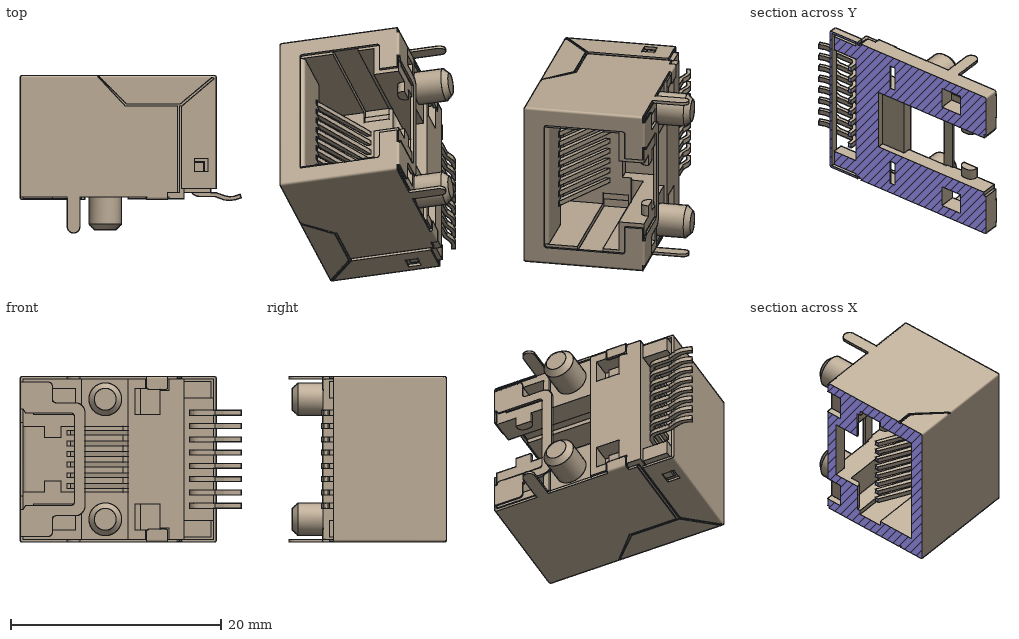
import cadquery as cq


shield_length = 18.69
shield_height = 15.78
shield_back_y = 11.82
shield_edge_y = 0.23
sheet = 0.27
bend_radius = 0.23
side_z = shield_height / 2
inner_z = side_z - sheet

cover_start_x = 15.38
cover_edge_y = 1.05
flap_gap = 0.21

arm_inner_z = 4.4
clip_x = (12.05, 14.05)
clip_inner_z = 6.65

housing_step_x = 5.85
slab_start_x = 10.28
slab_end_x = 15.61
slab_front_y = 0.06
nose_front_y = 0.13
peg_floor_y = 0.38
core_end_x = 18.16
core_front_y = 0.67
core_half = 7.42
core_gap_y = 2.1

mouth_half = 6.25
mouth_low_y = 1.95
mouth_high_y = 9.8
mouth_radius = 0.25
notch_half = 3.52
cavity_half = 5.98
cavity_low_y = 2.57
cavity_high_y = 9.4
cavity_back_x = 11.59
channel_half = 3.12
recess_low_y = 1.14
recess_high_y = 4.7
recess_back_x = 12.85

contact_count = 8
contact_pitch = 1.01
contact_width = 0.46
lead_pitch = 1.26
lead_width = 0.48
lead_well_half = 5.84
lead_well_y = 4.21

peg_diameter = 3.12
peg_tip_diameter = 2.09
peg_x = 8.11
peg_z = 5.7
peg_shoulder_y = -2.32
peg_tip_y = -2.87
tab_x = 5.1
tab_width = 1.22
tab_tip_y = -3.18

overlap = 0.1


def block(x0, x1, y0, y1, z0, z1):
    return cq.Workplane("XY").box(x1 - x0, y1 - y0, z1 - z0, centered=False).translate((x0, y0, z0))


def centred_block(x0, x1, y0, y1, half_z):
    return block(x0, x1, y0, y1, -half_z, half_z)


def both_sides(piece):
    return piece.union(piece.mirror("XY"))


def in_row(piece, count, pitch):
    """Copies of a piece centred on Z = 0, in a row along Z."""
    row = cq.Workplane("XY")
    for i in range(count):
        row = row.add(piece.translate((0, 0, (i - (count - 1) / 2) * pitch)))
    return row.combine()


def make_body():
    """Shield box filled by the housing, with the mounting side stepped."""
    body = centred_block(0, shield_length, shield_edge_y, shield_back_y, side_z)
    body = body.edges("not(<Y)").fillet(bend_radius)
    body = body.union(centred_block(sheet, housing_step_x, nose_front_y, cavity_low_y, inner_z))
    body = body.cut(centred_block(housing_step_x, slab_start_x, 0, peg_floor_y, inner_z))
    slab_notch_x = 14.03
    body = body.cut(centred_block(slab_notch_x, shield_length, 0, core_front_y, side_z))
    body = body.cut(centred_block(cover_start_x, shield_length, 0, cover_edge_y, side_z))
    slab = centred_block(slab_start_x, slab_end_x, slab_front_y, cavity_low_y, inner_z)
    body = body.union(slab)
    cover_inner_x = shield_length - sheet
    body = body.cut(centred_block(slab_end_x, cover_inner_x, 0, core_gap_y, inner_z))
    core = centred_block(cover_start_x, core_end_x, core_front_y, core_gap_y + overlap, core_half)
    body = body.union(core)
    return body.cut(centred_block(slab_end_x, cover_inner_x, 0, lead_well_y, lead_well_half))


def cavity_cutter():
    """Plug opening, latch channel and the recesses of the cavity walls."""
    mouth = centred_block(0, sheet, mouth_low_y, mouth_high_y, mouth_half)
    mouth = mouth.edges("|X").fillet(mouth_radius)
    cutter = mouth.union(centred_block(0, sheet, 0, mouth_low_y + mouth_radius, notch_half))

    lead_in = mouth_high_y - cavity_high_y
    ceiling_step_x = 5.48
    raised_x = 9.82
    raised_y = 10.87
    rear_y = 10.43
    chamber = (
        cq.Workplane("XY")
        .moveTo(sheet, cavity_low_y)
        .lineTo(sheet, mouth_high_y)
        .radiusArc((sheet + lead_in, cavity_high_y), -lead_in)
        .lineTo(ceiling_step_x, cavity_high_y)
        .lineTo(ceiling_step_x, raised_y)
        .lineTo(raised_x, raised_y)
        .lineTo(raised_x, rear_y)
        .lineTo(cavity_back_x, rear_y)
        .lineTo(cavity_back_x, cavity_low_y)
        .close()
        .extrude(cavity_half, both=True)
    )
    cutter = cutter.union(chamber)

    groove_y = (4.13, 6.62)
    groove_z = 6.47
    pocket_z = 4.9
    pocket_step_z = 5.6
    shallow = 0.32
    groove = block(sheet, cavity_back_x, *groove_y, cavity_half - overlap, groove_z)
    groove = groove.union(block(cavity_back_x, cavity_back_x + shallow, *groove_y, pocket_z, groove_z))
    groove = groove.union(
        block(cavity_back_x, cavity_back_x + 2 * shallow, *groove_y, pocket_step_z, groove_z)
    )
    cutter = cutter.union(both_sides(groove))

    channel_top_y = cavity_low_y + overlap
    cutter = cutter.union(centred_block(sheet, slab_start_x, 0, channel_top_y, channel_half))
    recess = centred_block(slab_start_x - overlap, recess_back_x, recess_low_y, recess_high_y, channel_half)
    return cutter.union(recess)


def make_rear_ledges():
    """Round-topped ledges at the foot of the back wall, one on each side of the recess."""
    depth = 0.57
    upper_ledge = (1, 3.73, 0.55)
    lower_ledge = (-1, 3.81, 0.48)
    front_x = cavity_back_x - depth
    ledges = cq.Workplane("XY")
    for side, top_y, radius in (upper_ledge, lower_ledge):
        ledge = block(
            front_x, cavity_back_x + overlap, cavity_low_y - overlap, top_y,
            channel_half, cavity_half + overlap,
        )
        ledge = ledge.edges("<X and >Y").fillet(radius)
        ledges = ledges.add(ledge if side > 0 else ledge.mirror("XY"))
    return ledges.combine()


def make_latch_keepers():
    """Round-backed ears that narrow the latch channel."""
    keeper_x = (2.32, 3.92)
    keeper_z = 2.06
    keeper_top_y = 0.95
    back_radius = 0.63
    keeper = block(*keeper_x, nose_front_y, keeper_top_y, keeper_z, channel_half + overlap)
    keeper = keeper.edges(">Y and |Z").fillet(back_radius)
    return both_sides(keeper)


def make_strap():
    """Bent strap from the plug face: two arms joined by a bar across the latch channel."""
    arm_outer_z = 7.33
    arm_neck_z = 5.37
    root_inner_z = 4.76
    root_x = 0.3
    root_slope_x = 0.53
    arm_wide_x = 3.08
    bar_x = (5.18, 6.17)
    corner = 0.35
    bar_corner = 0.9
    half = [
        (0, arm_outer_z),
        (arm_wide_x, arm_outer_z),
        (arm_wide_x, arm_neck_z),
        (bar_x[1], arm_neck_z),
        (bar_x[1], 0),
        (bar_x[0], 0),
        (bar_x[0], arm_inner_z),
        (root_slope_x, arm_inner_z),
        (root_x, root_inner_z),
        (0, root_inner_z),
    ]
    strap = cq.Workplane("XZ").polyline(half).close().extrude(-sheet)
    rounded_corners = [
        (arm_wide_x, arm_outer_z, corner),
        (arm_wide_x, arm_neck_z, corner),
        (bar_x[1], arm_neck_z, bar_corner),
        (bar_x[0], arm_inner_z, corner),
    ]
    for x, z, radius in rounded_corners:
        nearest = cq.selectors.NearestToPointSelector((x, sheet / 2, z))
        strap = strap.edges("|Y").edges(nearest).fillet(radius)
    strap = strap.edges("<X and <Y").fillet(bend_radius)
    return both_sides(strap)


def housing_pockets():
    """Pockets in the mounting side, beside the strap and under the shield clips."""
    pocket_outer_z = 6.75
    window = block(3.1, 5.27, 0, 2.32, 4.64, pocket_outer_z)

    pocket_x = (10.95, 13.34)
    strip_end_x = 11.48
    pocket_inner_z = 4.25
    pocket_floor_y = 1.62
    strip_floor_y = 1.9
    seat_margin = 0.1
    clip_pocket = block(*pocket_x, 0, pocket_floor_y, pocket_inner_z, pocket_outer_z)
    deep_strip = block(pocket_x[0], strip_end_x, 0, strip_floor_y, pocket_inner_z, pocket_outer_z)
    clip_seat = block(
        clip_x[0] - seat_margin, clip_x[1] + seat_margin, 0, sheet, clip_inner_z - seat_margin, inner_z
    )

    relief_depth = 0.06
    relief_width = 0.13
    relief = block(
        1.26, 5.05, 0, nose_front_y + relief_depth, arm_inner_z - relief_width, arm_inner_z
    )
    pockets = window.union(clip_pocket).union(deep_strip).union(clip_seat).union(relief)
    return both_sides(pockets)


def make_clips():
    """Shield clips folded over the mounting side."""
    corner = 0.17
    clip = block(*clip_x, 0, core_front_y + overlap, clip_inner_z, side_z)
    clip = clip.cut(block(*clip_x, sheet, shield_back_y, 0, inner_z))
    clip = clip.edges(">Z and <Y").fillet(bend_radius)
    clip = clip.edges("<Z and |Y").fillet(corner)
    return both_sides(clip)


def shield_seams():
    """Gaps between the shield wrap, the rear cover and the folded side flap, on both Z sides."""
    seam_depth = sheet / 2
    seam_floor_z = side_z - seam_depth
    flap_low_y = 9.1
    flap_x = (10.13, 15.23)
    flap_left_x = 7.42
    flap_right = (18.27, 11.63)
    seam = (
        cq.Workplane("XY")
        .polyline([
            (flap_left_x, shield_back_y),
            (flap_x[0], flap_low_y),
            (flap_x[1], flap_low_y),
            flap_right,
            (flap_right[0] + flap_gap, flap_right[1] - flap_gap / 2),
            (cover_start_x, flap_low_y - flap_gap),
            (flap_x[0] - flap_gap / 2, flap_low_y - flap_gap),
            (flap_left_x - flap_gap / 2, shield_back_y),
        ])
        .close()
        .extrude(seam_depth)
        .translate((0, 0, seam_floor_z))
    )
    joint_x = cover_start_x - 2 * flap_gap
    joint_y = (core_front_y, flap_low_y - flap_gap)
    seam = seam.union(block(joint_x, cover_start_x, *joint_y, seam_floor_z, side_z))
    seam = seam.union(block(cover_start_x - flap_gap, cover_start_x, *joint_y, inner_z, side_z))
    window_x = (16.6, 17.87)
    window_y = (2.7, 3.92)
    nub_size = 0.95
    nub_bevel = 0.1
    window = block(*window_x, *window_y, inner_z, side_z)
    nub = block(
        window_x[0], window_x[0] + nub_size, window_y[0], window_y[0] + nub_size,
        inner_z, seam_floor_z,
    )
    nub = nub.faces(">Z").edges(">X or >Y").chamfer(nub_bevel)
    return both_sides(seam.union(window.cut(nub)))


def make_contacts():
    """Spring contacts sloping from the ceiling of the cavity to its back wall."""
    root_x = cavity_back_x + overlap
    tip_x = 4.49
    tip_y = 9.33
    bend_x = 4.78
    top_bend_x = 5.48
    top_y = 9.59
    root_y = 5.88
    thickness_y = 0.38
    contact = (
        cq.Workplane("XY")
        .polyline([
            (tip_x, top_y),
            (tip_x, tip_y),
            (bend_x, tip_y),
            (root_x, root_y),
            (root_x, root_y + thickness_y),
            (top_bend_x, top_y),
        ])
        .close()
        .extrude(contact_width / 2, both=True)
    )
    return in_row(contact, contact_count, contact_pitch)


def make_leads():
    """Gull-wing leads leaving the well towards +X."""
    thickness = 0.38
    outer_radius = 0.95
    leg_x = 16.15
    shank_low_y = 0.3
    shank_high_y = shank_low_y + thickness
    leg_end_y = lead_well_y + overlap
    bend_x = leg_x + outer_radius
    bend_y = shank_low_y + outer_radius
    lead = (
        cq.Workplane("XY")
        .moveTo(leg_x, leg_end_y)
        .lineTo(leg_x, bend_y)
        .radiusArc((bend_x, shank_low_y), -outer_radius)
        .lineTo(18.55, shank_low_y)
        .lineTo(19.45, -0.05)
        .lineTo(19.97, -0.08)
        .lineTo(20.44, -0.02)
        .lineTo(21.07, 0.17)
        .lineTo(20.95, 0.53)
        .lineTo(20.33, 0.32)
        .lineTo(19.91, 0.3)
        .lineTo(19.5, 0.38)
        .lineTo(18.65, shank_high_y)
        .lineTo(bend_x, shank_high_y)
        .radiusArc((leg_x + thickness, bend_y), outer_radius - thickness)
        .lineTo(leg_x + thickness, leg_end_y)
        .close()
        .extrude(lead_width / 2, both=True)
    )
    return in_row(lead, contact_count, lead_pitch)


def make_pegs():
    """Locating pegs with chamfered tips."""
    peg_length = peg_floor_y + overlap - peg_tip_y
    peg = (
        cq.Workplane("XZ", origin=(peg_x, peg_floor_y + overlap, peg_z))
        .circle(peg_diameter / 2)
        .extrude(peg_length)
        .faces("<Y")
        .chamfer(peg_shoulder_y - peg_tip_y, (peg_diameter - peg_tip_diameter) / 2)
    )
    return both_sides(peg)


def make_ground_tabs():
    """Round-ended tabs continuing the shield sides past the mounting side."""
    tip_radius = tab_width / 2
    tip_centre_y = tab_tip_y + tip_radius
    tab = block(tab_x - tip_radius, tab_x + tip_radius, tip_centre_y, cavity_low_y, inner_z, side_z)
    tip = cq.Workplane("XY", origin=(tab_x, tip_centre_y, inner_z)).circle(tip_radius).extrude(sheet)
    return both_sides(tab.union(tip))


result = make_body().cut(cavity_cutter()).union(make_rear_ledges()).cut(housing_pockets())
result = result.union(make_latch_keepers()).union(make_strap()).union(make_clips())
result = result.cut(shield_seams())
result = result.union(make_contacts()).union(make_leads()).union(make_pegs()).union(make_ground_tabs())